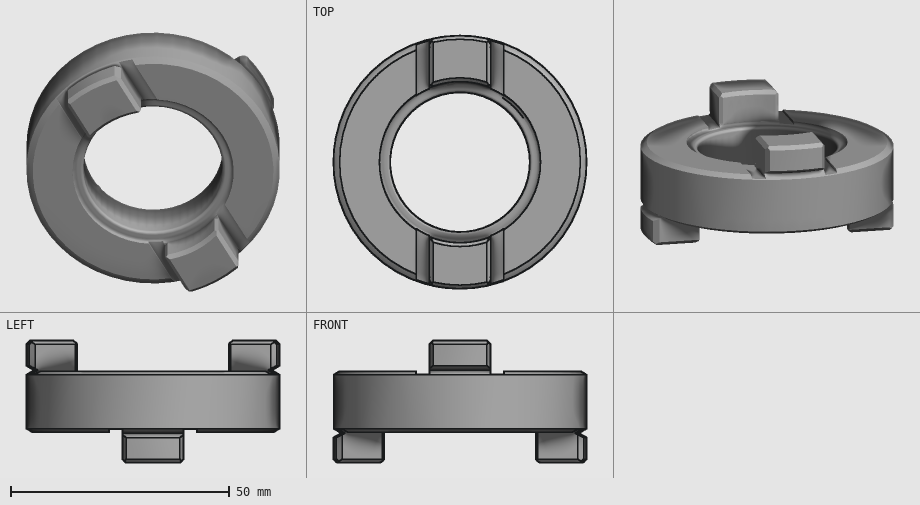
import cadquery as cq
import math

outer_radius = 29.0
bore_radius = 15.95
ring_half_height = 7.0
bore_fillet = 0.7

recess_radius = 18.45
recess_depth = 0.9
recess_fillet = 0.75

groove_half_height = 1.05
groove_depth = 1.75
groove_height_above_face = 0.2

overall_half_height = 28.0 / 2
lug_half_width = 7.0
lug_chamfer = 0.85
lug_outer_corner_length = 1.15
lug_inner_corner_length = 0.7

slot_outer_x = 10.05
slot_depth = 0.7

recess_floor = ring_half_height - recess_depth
cutter_size = 2.2 * outer_radius


def blank():
    """Ring that carries a full collar above and below, before the lugs are cut from the collars."""
    groove_middle = ring_half_height + groove_height_above_face
    upper_points = [
        (outer_radius, groove_middle - groove_half_height),
        (outer_radius - groove_depth, groove_middle),
        (outer_radius, groove_middle + groove_half_height),
        (outer_radius, overall_half_height),
        (recess_radius, overall_half_height),
        (recess_radius, recess_floor),
        (bore_radius, recess_floor),
    ]
    lower_points = [(radius, -z) for radius, z in reversed(upper_points)]
    body = (
        cq.Workplane("XZ")
        .polyline(upper_points + lower_points)
        .close()
        .revolve(360, (0, 0, 0), (0, 1, 0))
    )
    ring_zone = cq.selectors.BoxSelector(
        (-0.6, -0.6, -ring_half_height),
        (0.6, 0.6, ring_half_height),
    )
    bore_edges = cq.selectors.RadiusNthSelector(0)
    recess_corners = cq.selectors.RadiusNthSelector(1)
    body = body.edges(ring_zone).edges(recess_corners).fillet(recess_fillet)
    return body.edges(ring_zone).edges(bore_edges).fillet(bore_fillet)


def on_circle(radius, x):
    """Y of the point at x on a circle around the axis."""
    return math.sqrt(radius**2 - x**2)


def lug_corner_outline():
    """Right half of the +Y lug's outline with cut corners, open across the curved ends."""
    corner_x = lug_half_width - lug_chamfer
    inner_side_y = on_circle(recess_radius, lug_half_width) + lug_inner_corner_length
    outer_side_y = on_circle(outer_radius, lug_half_width) - lug_outer_corner_length
    return [
        (corner_x, 0),
        (corner_x, on_circle(recess_radius, corner_x)),
        (lug_half_width, inner_side_y),
        (lug_half_width, outer_side_y),
        (corner_x, on_circle(outer_radius, corner_x)),
        (corner_x, cutter_size / 2),
    ]


def around_lugs(right_side):
    """Cutter above the upper face, sparing a lug with this right side on +Y and its twin on -Y."""
    left_side = [(-x, y) for x, y in reversed(right_side)]
    upper_face = cq.Workplane("XY", origin=(0, 0, ring_half_height))
    surroundings = upper_face.rect(cutter_size, cutter_size).extrude(overall_half_height)
    lug = upper_face.polyline(right_side + left_side).close().extrude(overall_half_height)
    opposite_lug = lug.rotate((0, 0, 0), (0, 0, 1), 180)
    return surroundings.cut(lug).cut(opposite_lug)


def slots():
    """Cutter for the slots beside the upper lugs."""
    middle_x = (slot_outer_x + lug_half_width) / 2
    return (
        cq.Workplane("XY", origin=(0, 0, ring_half_height - slot_depth))
        .pushPoints([(-middle_x, 0), (middle_x, 0)])
        .rect(slot_outer_x - lug_half_width, cutter_size)
        .extrude(overall_half_height)
    )


def cut_both_sides(body, upper_cutter):
    """Cut the upper side, then the lower side turned over with X and Y swapped."""
    lower_cutter = upper_cutter.mirror("XY").rotate((0, 0, 0), (0, 0, 1), 90)
    return body.cut(upper_cutter).cut(lower_cutter)


straight_side = [(lug_half_width, 0), (lug_half_width, cutter_size / 2)]
result = cut_both_sides(blank(), around_lugs(straight_side).union(slots()))
for lug_tops in (">Z", "<Z"):
    result = result.faces(lug_tops).chamfer(lug_chamfer)
result = cut_both_sides(result, around_lugs(lug_corner_outline()))